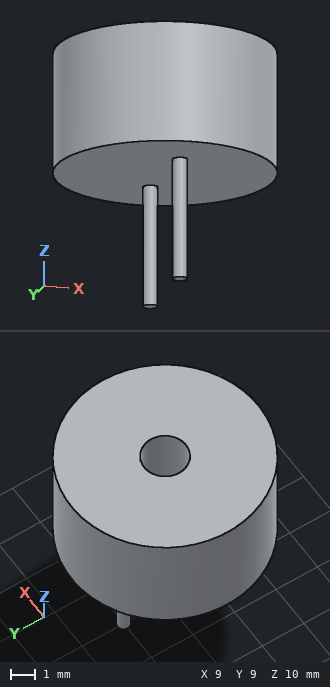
import cadquery as cq

body_diameter = 9
body_height = 5

hole_diameter = 2
hole_depth = 4

pin_diameter = 0.6
pin_length = 5
pin_spacing = 4


def make_body():
    """Solid cylinder with a blind hole in its top face."""
    cylinder = cq.Workplane("XY").circle(body_diameter / 2).extrude(body_height)
    return cylinder.faces(">Z").workplane().hole(hole_diameter, hole_depth)


def make_pins():
    """Pair of pins reaching down from the underside of the body."""
    pin_centres = [(0, side * pin_spacing / 2) for side in (-1, 1)]
    return cq.Workplane("XY").pushPoints(pin_centres).circle(pin_diameter / 2).extrude(-pin_length)


result = make_body().union(make_pins())